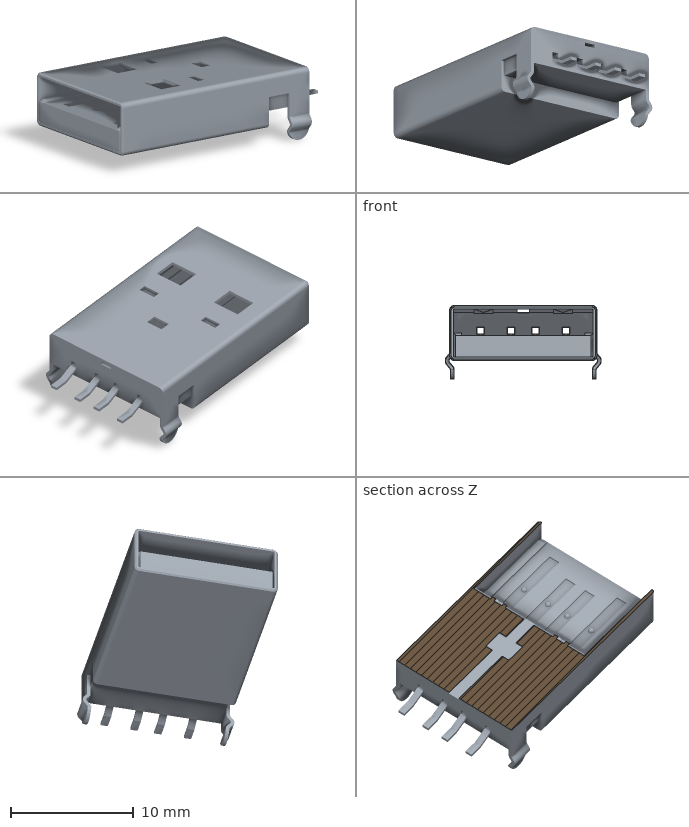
import cadquery as cq
import math


SHELL_WIDTH = 12.0
SHELL_LENGTH = 18.81
SHELL_HEIGHT = 4.5
WALL = 0.3
CORNER_RADIUS = 0.4
MOUTH_CHAMFER = 0.13
FLOOR_END_Y = 14.77
SIDE_NOTCH_Z = 2.64

LEG_WIDTH = 2.0
LEG_HALF_SPAN = 12.7 / 2
LEG_FOOT_HALF_SPAN = 5.94
LEG_BULGE_Z = -0.02
LEG_BULGE_RADIUS = 0.51
LEG_BULGE_ANGLE = math.radians(40)
LEG_BEND_RADIUS = 0.2
LEG_BOTTOM_Z = -1.5
LEG_TIP_HEIGHT = 0.75

SPRING_WINDOW = (2.51, 2.0)
SPRING_WINDOW_X = 3.02
SPRING_WINDOW_Y = 6.15
LATCH_SLOT = (1.53, 0.64)
LATCH_SLOT_X = 3.23
LATCH_SLOT_Y = 9.38
CENTRE_WINDOW = (1.53, 0.94)
CENTRE_WINDOW_Y = 12.2

TONGUE_FRONT_Y = 0.05
TONGUE_Z = 2.05
TONGUE_NOSE_INSET = 0.2
TONGUE_NOSE_LENGTH = 0.4
RAIL_WIDTH = 0.68
RAIL_HEIGHT = 0.2
BLOCK_FRONT_Y = 8.7
RAMP_HEIGHT = 0.28
RAMP_LENGTH = 0.43
REAR_UNDERSIDE_Z = 1.38
CHANNEL_WIDTH = 1.0
POCKET_MARGIN = 0.43

TAB_HEIGHT = 0.35
TAB_STAND_OUT = 0.06

OUTER_PIN_X = 3.5
INNER_PIN_X = 1.0
PIN_X = (-OUTER_PIN_X, -INNER_PIN_X, INNER_PIN_X, OUTER_PIN_X)
PIN_WIDTH = 0.6
PIN_THICKNESS = 0.25
PIN_EXIT_Z = 2.17
PIN_TAIL_Z = 1.64
PIN_BEND_Y = 20.09
PIN_END_Y = 21.28
PIN_INNER_LENGTH = 1.7
GROOVE_WIDTH = 1.0
OUTER_GROOVE_FRONT_Y = 1.13
INNER_GROOVE_FRONT_Y = 2.13
PIN_HOLE_TOP_Z = 2.7
DIMPLE_RADIUS = 0.25
DIMPLE_Y = 5.13

GROOVE_Z = PIN_EXIT_Z - PIN_THICKNESS
INNER_WIDTH = SHELL_WIDTH - 2 * WALL
CEILING_Z = SHELL_HEIGHT - WALL
INNER_RADIUS = CORNER_RADIUS - WALL
LATCH_EDGE_Y = LATCH_SLOT_Y - LATCH_SLOT[1] / 2


def box(x_size, y_range, z_range, x=0):
    """Box centred on x in X and spanning the given Y and Z ranges."""
    y0, y1 = y_range
    z0, z1 = z_range
    return cq.Workplane("XY").box(x_size, y1 - y0, z1 - z0).translate((x, (y0 + y1) / 2, (z0 + z1) / 2))


def extrude_across(outline, width, x=0):
    """Extrude a (Y, Z) outline to the given width, centred on x."""
    return cq.Workplane("YZ").polyline(outline).close().extrude(width / 2, both=True).translate((x, 0, 0))


def mirrored(body):
    return body.union(body.mirror("YZ"))


def make_shell():
    outside = box(SHELL_WIDTH, (0, SHELL_LENGTH), (0, SHELL_HEIGHT)).edges("|Y").fillet(CORNER_RADIUS)
    outside = outside.faces("<Y").chamfer(MOUTH_CHAMFER)
    inside = box(INNER_WIDTH, (0, SHELL_LENGTH), (WALL, CEILING_Z)).edges("|Y").fillet(INNER_RADIUS)
    shell = outside.cut(inside)
    shell = shell.cut(box(SHELL_WIDTH, (FLOOR_END_Y, SHELL_LENGTH), (0, SIDE_NOTCH_Z)))
    openings = (
        (SPRING_WINDOW, -SPRING_WINDOW_X, SPRING_WINDOW_Y),
        (SPRING_WINDOW, SPRING_WINDOW_X, SPRING_WINDOW_Y),
        (LATCH_SLOT, -LATCH_SLOT_X, LATCH_SLOT_Y),
        (LATCH_SLOT, LATCH_SLOT_X, LATCH_SLOT_Y),
        (CENTRE_WINDOW, 0, CENTRE_WINDOW_Y),
    )
    for (width, length), x, y in openings:
        shell = shell.cut(box(width, (y - length / 2, y + length / 2), (CEILING_Z, SHELL_HEIGHT), x))
    return shell


def make_leg():
    """Leg on the +X side: side wall, rounded outward bulge, foot with a round end."""
    wall_x = SHELL_WIDTH / 2
    foot_x = LEG_FOOT_HALF_SPAN
    slope = math.tan(LEG_BULGE_ANGLE)
    secant = 1 / math.cos(LEG_BULGE_ANGLE)
    bend_shift = WALL * math.tan(LEG_BULGE_ANGLE / 2)
    peak_x = LEG_HALF_SPAN + LEG_BULGE_RADIUS * (secant - 1)
    upper_z = LEG_BULGE_Z + (peak_x - wall_x) / slope
    lower_z = LEG_BULGE_Z - (peak_x - foot_x) / slope
    outline = [
        (wall_x, SIDE_NOTCH_Z),
        (wall_x, upper_z),
        (peak_x, LEG_BULGE_Z),
        (foot_x, lower_z),
        (foot_x, LEG_BOTTOM_Z),
        (foot_x - WALL, LEG_BOTTOM_Z),
        (foot_x - WALL, lower_z + bend_shift),
        (peak_x - WALL * secant, LEG_BULGE_Z),
        (wall_x - WALL, upper_z - bend_shift),
        (wall_x - WALL, SIDE_NOTCH_Z),
    ]
    strip = cq.Workplane("XZ", origin=(0, SHELL_LENGTH, 0)).polyline(outline).close().extrude(LEG_WIDTH)

    def round_bend(body, outer_point, inner_point, outer_radius, inner_radius):
        for (x, z), radius in ((outer_point, outer_radius), (inner_point, inner_radius)):
            edge = cq.selectors.NearestToPointSelector((x, SHELL_LENGTH - LEG_WIDTH / 2, z))
            body = body.edges("|Y").edges(edge).fillet(radius)
        return body

    wide_bend = LEG_BEND_RADIUS + WALL
    strip = round_bend(strip, outline[1], outline[8], LEG_BEND_RADIUS, wide_bend)
    strip = round_bend(strip, outline[3], outline[6], LEG_BEND_RADIUS, wide_bend)
    strip = round_bend(strip, outline[2], outline[7], LEG_BULGE_RADIUS, LEG_BULGE_RADIUS - WALL)

    front_y = SHELL_LENGTH - LEG_WIDTH
    tip_z = LEG_BOTTOM_Z + LEG_TIP_HEIGHT
    silhouette = (
        cq.Workplane("YZ")
        .moveTo(front_y, SIDE_NOTCH_Z)
        .lineTo(front_y, tip_z)
        .threePointArc((front_y + LEG_WIDTH / 2, LEG_BOTTOM_Z), (SHELL_LENGTH, tip_z))
        .lineTo(SHELL_LENGTH, SIDE_NOTCH_Z)
        .close()
        .extrude(SHELL_WIDTH)
    )
    return strip.intersect(silhouette)


def make_rail():
    """Raised rail along the +X edge of the tongue, with a ramped front end."""
    top_z = TONGUE_Z + RAIL_HEIGHT
    outline = [
        (TONGUE_FRONT_Y, TONGUE_Z),
        (TONGUE_FRONT_Y + TONGUE_NOSE_LENGTH, top_z),
        (BLOCK_FRONT_Y, top_z),
        (BLOCK_FRONT_Y, TONGUE_Z),
    ]
    return extrude_across(outline, RAIL_WIDTH, (INNER_WIDTH - RAIL_WIDTH) / 2)


def make_nose_cut():
    """Wedge that tapers the +X corner of the tongue nose."""
    side_x = INNER_WIDTH / 2
    outline = [
        (side_x - TONGUE_NOSE_INSET, TONGUE_FRONT_Y),
        (side_x, TONGUE_FRONT_Y),
        (side_x, TONGUE_FRONT_Y + TONGUE_NOSE_LENGTH),
    ]
    wedge = cq.Workplane("XY", origin=(0, 0, WALL)).polyline(outline).close()
    return wedge.extrude(TONGUE_Z + RAIL_HEIGHT - WALL)


def make_housing():
    tongue = box(INNER_WIDTH, (TONGUE_FRONT_Y, BLOCK_FRONT_Y), (WALL, TONGUE_Z))
    tongue = tongue.union(mirrored(make_rail())).cut(mirrored(make_nose_cut()))

    ramp_z = CEILING_Z - RAMP_HEIGHT
    block_profile = [
        (BLOCK_FRONT_Y, WALL),
        (BLOCK_FRONT_Y, ramp_z),
        (BLOCK_FRONT_Y + RAMP_LENGTH, CEILING_Z),
        (SHELL_LENGTH, CEILING_Z),
        (SHELL_LENGTH, REAR_UNDERSIDE_Z),
        (FLOOR_END_Y, REAR_UNDERSIDE_Z),
        (FLOOR_END_Y, WALL),
    ]
    housing = tongue.union(extrude_across(block_profile, INNER_WIDTH))

    channel = box(CHANNEL_WIDTH, (BLOCK_FRONT_Y, SHELL_LENGTH), (ramp_z, CEILING_Z))
    pocket_width = CENTRE_WINDOW[0] + 2 * POCKET_MARGIN
    pocket_reach = CENTRE_WINDOW[1] / 2 + POCKET_MARGIN
    pocket_y = (CENTRE_WINDOW_Y - pocket_reach, CENTRE_WINDOW_Y + pocket_reach)
    housing = housing.cut(channel).cut(box(pocket_width, pocket_y, (ramp_z, CEILING_Z)))

    for x in PIN_X:
        front_y = OUTER_GROOVE_FRONT_Y if abs(x) == OUTER_PIN_X else INNER_GROOVE_FRONT_Y
        housing = housing.cut(box(GROOVE_WIDTH, (front_y, BLOCK_FRONT_Y), (GROOVE_Z, TONGUE_Z), x))
        housing = housing.cut(box(PIN_WIDTH, (BLOCK_FRONT_Y, SHELL_LENGTH), (GROOVE_Z, PIN_HOLE_TOP_Z), x))
    return housing


def make_latch_tab():
    """Tab below the +X latch slot, with a V notch cut into its front down to the ramp."""
    width = LATCH_SLOT[0]
    front_y = BLOCK_FRONT_Y - TAB_STAND_OUT
    tab = box(width, (front_y, LATCH_EDGE_Y), (CEILING_Z - TAB_HEIGHT, CEILING_Z), LATCH_SLOT_X)
    notch_outline = [
        (LATCH_SLOT_X - width / 2, CEILING_Z),
        (LATCH_SLOT_X, CEILING_Z - RAMP_HEIGHT),
        (LATCH_SLOT_X + width / 2, CEILING_Z),
    ]
    notch = cq.Workplane("XZ", origin=(0, LATCH_EDGE_Y, 0)).polyline(notch_outline).close()
    return tab.cut(notch.extrude(LATCH_EDGE_Y - front_y))


def make_pin(x):
    """Pin held in its hole, sloping down to a flat tail, plus the dimple on its contact."""
    top = [
        (SHELL_LENGTH - PIN_INNER_LENGTH, PIN_EXIT_Z),
        (SHELL_LENGTH, PIN_EXIT_Z),
        (PIN_BEND_Y, PIN_TAIL_Z),
        (PIN_END_Y, PIN_TAIL_Z),
    ]
    underside = [(y, z - PIN_THICKNESS) for y, z in reversed(top)]
    pin = extrude_across(top + underside, PIN_WIDTH, x)
    dimple = cq.Workplane("XY").sphere(DIMPLE_RADIUS).translate((x, DIMPLE_Y, GROOVE_Z))
    return pin, dimple


result = make_shell().union(mirrored(make_leg())).union(make_housing()).union(mirrored(make_latch_tab()))
for pin_x in PIN_X:
    for piece in make_pin(pin_x):
        result = result.union(piece)